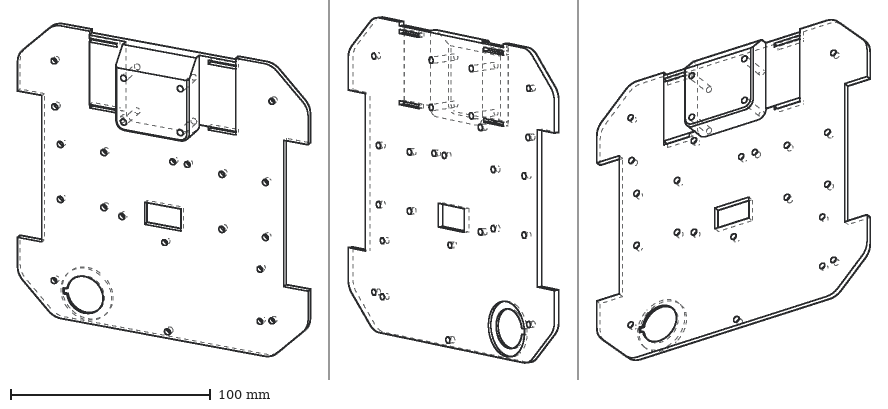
import cadquery as cq


plate_size = 160.0
plate_thickness = 3.0
corner_chamfer = 20.0
corner_blend_radius = 10.0
side_notch_depth = 13.3
side_notch_height = 80.0

panel_width = 80.5
panel_bottom = 40.0
panel_top = 78.0
panel_proud = 0.3
slot_length = 15.0
slot_height = 2.0
upper_slot_top = panel_top - slot_height
lower_slot_top = panel_bottom

block_width = 40.5
block_depth = 16.0
block_bottom = 35.0
block_corner_radius = 5.0
block_slope = 9.0
block_edge_chamfer = 1.0
block_height = panel_top - block_bottom

window_width = 20.0
window_height = 12.0
window_top = -8.0

opening_diameter = 20.0
opening_x = -42.9
opening_z = -64.6
key_reach = 12.0
key_height = 3.0
relief_diameter = 28.0
relief_depth = 1.6

small_hole_diameter = 3.0
large_hole_diameter = 3.2
corner_hole_offset = 60.0
block_hole_spacing = 31.2
block_hole_levels = (40.0, 64.0)
grid_columns = (32.5, 56.5)
grid_offset_z = 15.0
small_holes = [(5.5, 17.0), (13.5, 17.0), (1.0, -28.0), (53.5, -33.0), (53.5, -61.5)]
large_holes = [(-59.5, 35.0), (-22.5, 35.0), (-22.5, -18.0), (2.5, -76.5)]

for side in (-1, 1):
    small_holes += [(side * corner_hole_offset, z) for z in (-corner_hole_offset, corner_hole_offset)]
    large_holes += [(side * block_hole_spacing / 2, z) for z in block_hole_levels]
    large_holes += [(side * x, z) for x in grid_columns for z in (-grid_offset_z, grid_offset_z)]


def front_box(width, height, depth, center_x, bottom):
    """Box from the back plane towards -Y, given its width, height, centre in X and lowest Z."""
    return (
        cq.Workplane("XZ")
        .center(center_x, bottom + height / 2)
        .rect(width, height)
        .extrude(depth)
    )


def round_cutters(centers, diameter, depth=block_depth):
    """Cylinders from the back plane towards -Y, through the full depth of the part by default."""
    return cq.Workplane("XZ").pushPoints(centers).circle(diameter / 2).extrude(depth)


def base_plate():
    half = plate_size / 2
    plate = (
        front_box(plate_size, plate_size, plate_thickness, 0, -half)
        .edges("|Y")
        .chamfer(corner_chamfer)
        .edges("|Y")
        .fillet(corner_blend_radius)
    )
    for side in (-1, 1):
        notch_x = side * (half - side_notch_depth / 2)
        notch_bottom = -side_notch_height / 2
        notch = front_box(side_notch_depth, side_notch_height, plate_thickness, notch_x, notch_bottom)
        plate = plate.cut(notch)
    return plate.cut(front_box(panel_width, half - panel_bottom, plate_thickness, 0, panel_bottom))


def panel():
    return front_box(panel_width, panel_top - panel_bottom, plate_thickness + panel_proud, 0, panel_bottom)


def block():
    body = front_box(block_width, block_height, block_depth, 0, block_bottom)
    body = body.edges("|Y and <Z").fillet(block_corner_radius)
    body = body.faces("<Y").edges("not >Z").chamfer(block_edge_chamfer)
    slope = (
        cq.Workplane("YZ")
        .moveTo(-block_depth, panel_top)
        .lineTo(-block_depth, panel_top - block_slope)
        .lineTo(-block_depth + block_slope, panel_top)
        .close()
        .extrude(block_width / 2, both=True)
    )
    return body.cut(slope)


def slots():
    cutters = cq.Workplane("XZ")
    slot_x = (panel_width - slot_length) / 2
    for side in (-1, 1):
        for top in (upper_slot_top, lower_slot_top):
            slot = front_box(slot_length, slot_height, block_depth, side * slot_x, top - slot_height)
            cutters = cutters.add(slot)
    return cutters.combine()


def keyed_opening():
    key_x = opening_x - key_reach / 2
    key = front_box(key_reach, key_height, plate_thickness, key_x, opening_z - key_height / 2)
    center = [(opening_x, opening_z)]
    relief = round_cutters(center, relief_diameter, relief_depth)
    return round_cutters(center, opening_diameter).union(key).union(relief)


window = front_box(window_width, window_height, plate_thickness, 0, window_top - window_height)

result = (
    base_plate()
    .union(panel())
    .union(block())
    .cut(slots())
    .cut(window)
    .cut(keyed_opening())
    .cut(round_cutters(small_holes, small_hole_diameter))
    .cut(round_cutters(large_holes, large_hole_diameter))
)